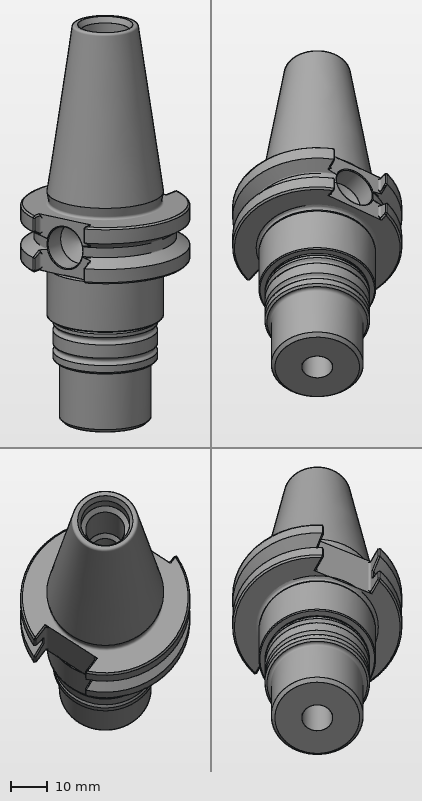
import cadquery as cq
import math

taper_length = 47.37
overall_length = 112.33
z_top = taper_length
z_bottom = taper_length - overall_length

gauge_diameter = 31.75
gauge_radius = gauge_diameter / 2
taper_rate = 7 / 24
taper_top_radius = gauge_radius - taper_length * taper_rate / 2
taper_rim_round = 0.7

flange_radius = 46.03 / 2
flange_top = -3.4
flange_thickness = 16.0
flange_bottom = flange_top - flange_thickness
flange_chamfer = 0.5
groove_center = -11.53
groove_floor_radius = 19.4
groove_floor_half_width = 1.55
groove_corner_round = 0.3
groove_flank_angle = 30
groove_flank_height = (flange_radius - groove_floor_radius) * math.tan(math.radians(groove_flank_angle))
groove_mouth_half_width = groove_floor_half_width + groove_flank_height

neck_cone_angle = math.radians(11)
neck_round = 0.7
relief_radius = 15.6
relief_round = 1.0
relief_cone_height = 0.7
relief_bottom = flange_bottom - relief_round - relief_cone_height

body_radius = gauge_radius
body_bottom = z_bottom + 29.6
body_chamfer = 0.3
collar_radius = 28.5 / 2
collar_bottom = z_bottom + 17.2
collar_chamfer = 0.6
undercut_depth = 0.45
undercut_top_depth = 0.3
undercut_height = 0.9
ring_groove_centers = (z_bottom + 26.65, z_bottom + 20.8)
ring_groove_half_width = 1.05
ring_groove_depth = 0.75
ring_groove_lip = 0.45
nose_radius = 25 / 2
nose_fillet = 0.75
nose_chamfer = 1.0

through_radius = 8.38 / 2
middle_radius = 10.58 / 2
pilot_radius = 13.3 / 2
countersink_radius = 7.5
countersink_depth = 1.6
pilot_depth = 4.9
pilot_cone_depth = 1.1
middle_depth = 20.0
middle_cone_depth = middle_radius - through_radius

slot_half_width = 8.25
slot_floor_fillet = 0.6
slot_edge_chamfer = 0.45
front_slot_floor = 18.5
back_slot_floor = 16.1
hole_diameter = 11.7
hole_depth = 6.0
hole_rim_chamfer = 0.25
hole_point_angle = 118

tolerance = 1e-4


def build_body():
    """Revolve the outer outline of the holder about the Z axis."""
    round_start_z = flange_top + neck_round * (1 + math.sin(neck_cone_angle))
    round_start_radius = gauge_radius + round_start_z * math.tan(neck_cone_angle)
    round_end_radius = round_start_radius + neck_round * math.cos(neck_cone_angle)
    outline = (
        cq.Workplane("XZ")
        .moveTo(0, z_bottom)
        .lineTo(nose_radius - nose_chamfer, z_bottom)
        .lineTo(nose_radius, z_bottom + nose_chamfer)
        .lineTo(nose_radius, collar_bottom - nose_fillet)
        .radiusArc((nose_radius + nose_fillet, collar_bottom), nose_fillet)
        .lineTo(collar_radius - collar_chamfer, collar_bottom)
        .lineTo(collar_radius, collar_bottom + collar_chamfer)
        .lineTo(collar_radius, body_bottom - undercut_height)
        .threePointArc(
            (collar_radius - undercut_depth, body_bottom - undercut_height / 2),
            (collar_radius - undercut_top_depth, body_bottom),
        )
        .lineTo(body_radius - body_chamfer, body_bottom)
        .lineTo(body_radius, body_bottom + body_chamfer)
        .lineTo(body_radius, relief_bottom)
        .lineTo(relief_radius, relief_bottom + relief_cone_height)
        .radiusArc((relief_radius + relief_round, flange_bottom), relief_round)
        .lineTo(flange_radius - flange_chamfer, flange_bottom)
        .lineTo(flange_radius, flange_bottom + flange_chamfer)
        .lineTo(flange_radius, groove_center - groove_mouth_half_width)
        .lineTo(groove_floor_radius, groove_center - groove_floor_half_width)
        .lineTo(groove_floor_radius, groove_center + groove_floor_half_width)
        .lineTo(flange_radius, groove_center + groove_mouth_half_width)
        .lineTo(flange_radius, flange_top - flange_chamfer)
        .lineTo(flange_radius - flange_chamfer, flange_top)
        .lineTo(round_end_radius, flange_top)
        .radiusArc((round_start_radius, round_start_z), neck_round)
        .lineTo(gauge_radius, 0)
        .lineTo(taper_top_radius, z_top)
        .lineTo(0, z_top)
        .close()
    )
    body = outline.revolve(360, (0, 0, 0), (0, 1, 0))
    body = body.faces(">Z").edges().fillet(taper_rim_round)
    groove_corners = cq.selectors.BoxSelector(
        (-flange_radius, -flange_radius, groove_center - groove_floor_half_width - groove_corner_round),
        (flange_radius, flange_radius, groove_center + groove_floor_half_width + groove_corner_round),
    )
    return body.edges("%CIRCLE").edges(groove_corners).fillet(groove_corner_round)


def ring_groove(center):
    """Rounded groove around the collar, with bevelled lips."""
    lip_half_width = ring_groove_half_width - ring_groove_lip
    lip_radius = collar_radius - ring_groove_lip
    return (
        cq.Workplane("XZ")
        .moveTo(collar_radius, center - ring_groove_half_width)
        .lineTo(lip_radius, center - lip_half_width)
        .threePointArc((collar_radius - ring_groove_depth, center), (lip_radius, center + lip_half_width))
        .lineTo(collar_radius, center + ring_groove_half_width)
        .close()
        .revolve(360, (0, 0, 0), (0, 1, 0))
    )


def axial_bore():
    """Stepped bore through the whole length."""
    return (
        cq.Workplane("XZ")
        .moveTo(0, z_bottom)
        .lineTo(through_radius, z_bottom)
        .lineTo(through_radius, z_top - middle_depth - middle_cone_depth)
        .lineTo(middle_radius, z_top - middle_depth)
        .lineTo(middle_radius, z_top - pilot_depth - pilot_cone_depth)
        .lineTo(pilot_radius, z_top - pilot_depth)
        .lineTo(pilot_radius, z_top - countersink_depth)
        .lineTo(countersink_radius, z_top)
        .lineTo(0, z_top)
        .close()
        .revolve(360, (0, 0, 0), (0, 1, 0))
    )


def drive_slot(floor_distance):
    """Square-cornered slot through the flange on the +Y side."""
    return (
        cq.Workplane("XY", origin=(0, 0, flange_bottom))
        .moveTo(-slot_half_width, floor_distance)
        .lineTo(slot_half_width, floor_distance)
        .lineTo(slot_half_width, flange_radius)
        .lineTo(-slot_half_width, flange_radius)
        .close()
        .extrude(flange_thickness)
    )


def front_hole():
    """Blind drilled hole with a conical end, running inwards from the -Y side."""
    radius = hole_diameter / 2
    floor_y = -front_slot_floor + hole_depth
    tip_y = floor_y + radius / math.tan(math.radians(hole_point_angle / 2))
    return (
        cq.Workplane("XY", origin=(0, 0, groove_center))
        .moveTo(0, -flange_radius)
        .lineTo(radius + hole_rim_chamfer, -flange_radius)
        .lineTo(radius + hole_rim_chamfer, -front_slot_floor)
        .lineTo(radius, -front_slot_floor + hole_rim_chamfer)
        .lineTo(radius, floor_y)
        .lineTo(0, tip_y)
        .close()
        .revolve(360, (0, 0, 0), (0, 1, 0))
    )


def is_slot_wall(face):
    """True for a flat face standing at the half width of the drive slots."""
    on_wall_plane = math.isclose(abs(face.Center().x), slot_half_width, abs_tol=tolerance)
    return face.geomType() == "PLANE" and on_wall_plane


def is_slot_floor_edge(edge):
    """True for an edge lying in the floor of either drive slot."""
    y = edge.Center().y
    on_back_floor = math.isclose(y, back_slot_floor, abs_tol=tolerance)
    on_front_floor = math.isclose(y, -front_slot_floor, abs_tol=tolerance)
    return on_back_floor or on_front_floor


def wall_edges(solid, on_floor):
    """Edges of the slot walls: those along the slot floors, or all the others."""
    walls = [face for face in solid.Faces() if is_slot_wall(face)]
    edges = [edge for wall in walls for edge in wall.Edges()]
    return [edge for edge in edges if is_slot_floor_edge(edge) == on_floor]


def cut_drive_slots(body):
    """Cut both slots, bevel the free edges of their walls and round their floor corners."""
    back_slot = drive_slot(back_slot_floor)
    front_slot = drive_slot(front_slot_floor).rotate((0, 0, 0), (0, 0, 1), 180)
    solid = body.cut(back_slot).cut(front_slot).val()
    solid = solid.chamfer(slot_edge_chamfer, None, wall_edges(solid, on_floor=False))
    solid = solid.fillet(slot_floor_fillet, wall_edges(solid, on_floor=True))
    return cq.Workplane(solid)


result = cut_drive_slots(build_body())
for groove_z in ring_groove_centers:
    result = result.cut(ring_groove(groove_z))
result = result.cut(front_hole())
result = result.cut(axial_bore())